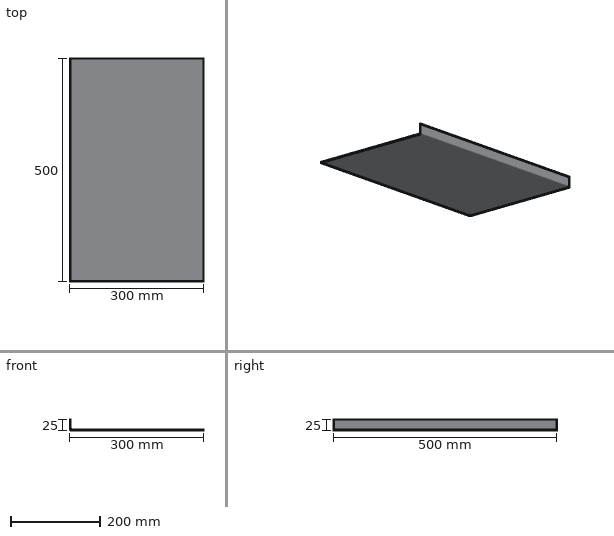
import cadquery as cq

width = 300.0
length = 500.0
flange_height = 25.0

thickness = 2.0
inner_bend_radius = 2.0
outer_bend_radius = inner_bend_radius + thickness

left = -width / 2


def bent_sheet():
    """L-shaped sheet: a flat base with an upright flange along its -X edge."""
    base = cq.Workplane("XY").box(width, length, thickness, centered=(True, True, False))
    flange = (
        cq.Workplane("XY")
        .box(thickness, length, flange_height, centered=(False, True, False))
        .translate((left, 0, 0))
    )
    return base.union(flange)


def round_bend(sheet):
    """Round the inside and outside of the bend concentrically."""
    inner_edge = cq.selectors.NearestToPointSelector((left + thickness, 0, thickness))
    outer_edge = cq.selectors.NearestToPointSelector((left, 0, 0))
    sheet = sheet.edges("|Y").edges(inner_edge).fillet(inner_bend_radius)
    return sheet.edges("|Y").edges(outer_edge).fillet(outer_bend_radius)


result = round_bend(bent_sheet())